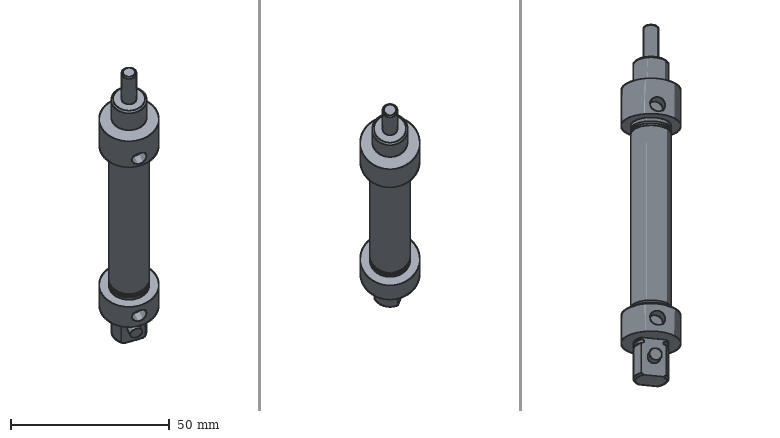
import cadquery as cq

lug_top = 12.8
rear_cap_top = 22.4
front_cap_bottom = 88.0
front_cap_top = 100.2
neck_top = 101.2
boss_top = 109.7
rod_top = 122.2

tube_radius = 12.8 / 2
cap_radius = 9.4
neck_radius = 4.4
boss_radius = 5.6
lug_radius = 11.1 / 2
rod_radius = 4.8 / 2

end_chamfer = 0.6
rod_chamfer = 0.5

crimp_radius = 0.4
crimp_count = 2
crimp_width = 2 * crimp_radius * crimp_count
rear_crimp_center = 24.2
front_crimp_center = 86.0

undercut_radius = 0.6
undercut_center = 11.6

lug_thickness = 7.7
pin_radius = 4.0 / 2
pin_length = 13.0
pin_height = 6.4

port_radius = 2.5
port_depth = 3.7
front_port_height = 91.4
rear_port_height = (lug_top + rear_cap_top) / 2


def cylinder(radius, bottom, top):
    return cq.Workplane("XY").workplane(offset=bottom).circle(radius).extrude(top - bottom)


def round_groove(surface_radius, groove_radius, height):
    """Ring that cuts a half-round groove into a cylinder of the given radius."""
    return (
        cq.Workplane("XZ")
        .center(surface_radius, height)
        .circle(groove_radius)
        .revolve(360, (-surface_radius, 0), (-surface_radius, 1))
    )


def x_cylinder(radius, start, length, height):
    """Cylinder along +X that begins at x = start."""
    return cq.Workplane("YZ", origin=(start, 0, height)).circle(radius).extrude(length)


def make_lug():
    lug = cylinder(lug_radius, 0, lug_top).faces("<Z").chamfer(end_chamfer)
    lug = lug.cut(round_groove(lug_radius, undercut_radius, undercut_center))
    flats = cq.Workplane("XY").box(
        lug_thickness, 2 * lug_radius, lug_top, centered=(True, True, False)
    )
    lug = lug.intersect(flats)
    return lug.cut(make_pin())


def make_tube():
    tube = cylinder(tube_radius, rear_cap_top, front_cap_bottom)
    for center in (rear_crimp_center, front_crimp_center):
        for index in range(crimp_count):
            height = center - crimp_width / 2 + (2 * index + 1) * crimp_radius
            tube = tube.cut(round_groove(tube_radius, crimp_radius, height))
    return tube


def make_cap(bottom, top, port_height):
    port = x_cylinder(port_radius, cap_radius - port_depth, port_depth, port_height)
    return cylinder(cap_radius, bottom, top).cut(port)


def make_housing():
    boss = cylinder(boss_radius, neck_top, boss_top).faces(">Z").chamfer(end_chamfer)
    return (
        make_tube()
        .union(make_cap(lug_top, rear_cap_top, rear_port_height))
        .union(make_cap(front_cap_bottom, front_cap_top, front_port_height))
        .union(cylinder(neck_radius, front_cap_top, neck_top))
        .union(boss)
        .union(make_lug())
    )


def make_rod():
    """Piston rod standing on the front boss."""
    return cylinder(rod_radius, boss_top, rod_top).faces(">Z").chamfer(rod_chamfer)


def make_pin():
    """Cross pin through the mounting lug."""
    return x_cylinder(pin_radius, -pin_length / 2, pin_length, pin_height)


housing = make_housing()
rod = make_rod()
pin = make_pin()

result = cq.Compound.makeCompound([housing.val(), rod.val(), pin.val()])